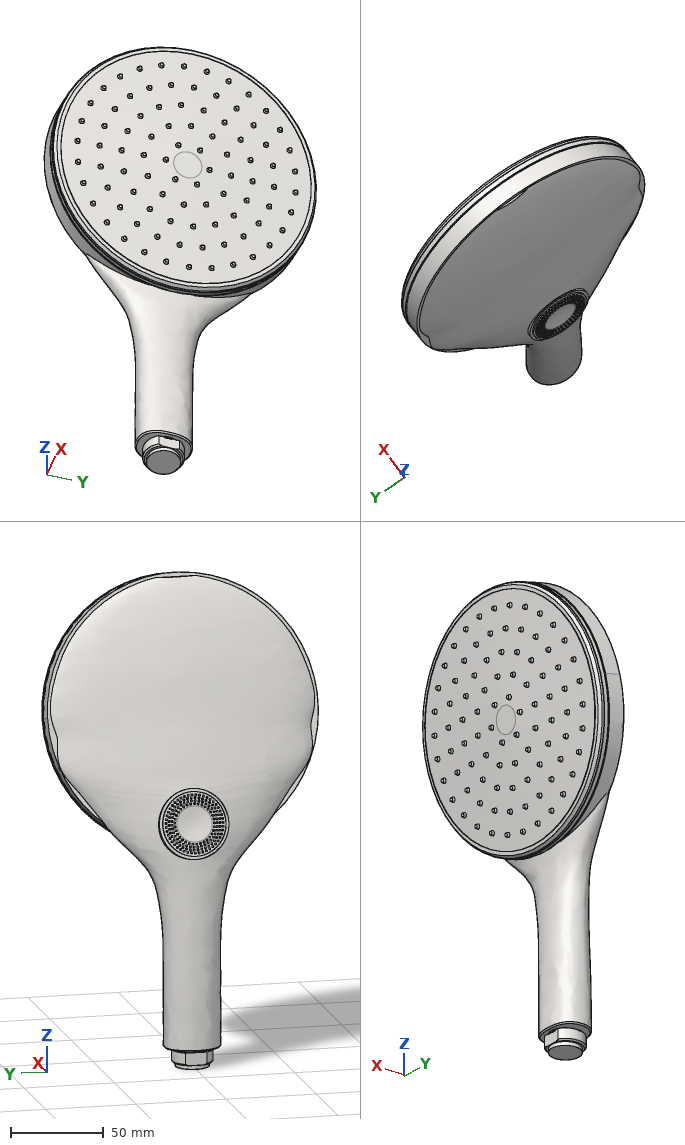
import cadquery as cq
import math


TILT = 14.0
HEAD_RADIUS = 74.99
RIM_X = 21.4
RIM_Z = 191.63
RIM_WIDTH = 13.6
SEAM_OFFSET = 10.2
SEAM_WIDTH = 0.5
SEAM_DEPTH = 0.5
SPRAY_RING_RADIUS = 74.6
SPRAY_RING_OFFSET = 15.0
LIP_RADIUS = 73.2
LIP_OFFSET = 16.8
PLATE_RADIUS = 71.0
PLATE_OFFSET = 17.2
PLATE_CENTRE_OFFSET = 19.9
PLATE_CENTRE_RADIUS = 8.0

NOZZLE_DIAMETER = 3.6
NOZZLE_TIP_DIAMETER = 2.0
NOZZLE_HEIGHT = 1.4
NOZZLE_SINK = 1.0
NOZZLE_RING_STEP = 12.4
NOZZLE_RINGS = 5
NOZZLES_PER_RING_STEP = 6

HANDLE_BOTTOM = 10.6
HANDLE_CHAMFER = 0.8
SHELL_RADIUS = 73.7
CROWN_DEPTH = 10.0
CROWN_HALF_LENGTH = 72.0
CROWN_GAIN = 0.04
CROWN_FADE = 0.65
FRONT_SQUARENESS = 2.5
HEAD_SQUARENESS = 1.75
SHELL_FRONT = 3.0
SHELL_WIDEST = 1.0
SECTION_POINTS = 16

NECK_STATIONS = [
    (HANDLE_BOTTOM + HANDLE_CHAMFER, -12.86, -0.4, 12.1, 15.6, 2.0),
    (24.0, -12.83, -0.4, 12.1, 15.6, 2.0),
    (36.0, -12.7, -0.3, 12.1, 15.6, 2.0),
    (48.0, -12.3, -0.1, 12.1, 15.6, 2.0),
    (60.0, -11.7, 0.2, 12.1, 15.6, 2.0),
    (72.0, -11.0, 0.6, 12.1, 15.8, 2.0),
    (84.0, -10.0, 1.1, 12.1, 16.8, 2.0),
    (96.0, -8.8, 1.7, 12.2, 18.8, 2.0),
    (108.0, -7.7, 3.0, 12.9, 23.5, 1.9),
    (120.0, -6.4, 5.2, 14.0, 33.8, 1.8),
    (132.0, -4.5, 7.8, 14.4, 45.0, 1.7),
    (144.0, -2.0, 10.6, 14.8, 54.0, 1.7),
]
HEAD_STATION_ANGLES = [-30, -15, 0, 15, 30, 45, 58, 70, 80]

BUTTON_DIAMETER = 35.0
BUTTON_X = -5.4
BUTTON_Z = 135.3
BUTTON_THICKNESS = 6.0
COLLAR_DIAMETER = 38.4
COLLAR_DROP = 0.9
DISH_DIAMETER = 19.6
DISH_DEPTH = 1.0
DOT_DIAMETER = 1.0
DOT_HEIGHT = 0.25
DOT_RINGS = 4
DOT_RING_STEP = 1.6
DOT_PITCH = 2.1
DOT_MARGIN = 1.2

SPIGOT_DIAMETER = 18.4
NUT_DIAMETER = 22.6
NUT_ACROSS_FLATS = 19.2
NUT_BOTTOM = 2.3
NUT_TOP = 9.4
NUT_CHAMFER = 0.9

SIN_TILT = math.sin(math.radians(TILT))
COS_TILT = math.cos(math.radians(TILT))


def tilted_plane(x, z, forward=True):
    """Plane whose normal is the head axis, its local Y running up the head."""
    side = 1 if forward else -1
    return cq.Plane(
        origin=(x, 0, z),
        xDir=(0, side, 0),
        normal=(side * COS_TILT, 0, -side * SIN_TILT),
    )


def shell_section(z, rear, middle, front, half_width, squareness):
    """Horizontal closed section: a rear and a front half superellipse in one smooth curve."""

    def half(reach, power):
        curve = []
        for i in range(SECTION_POINTS + 1):
            angle = math.pi * (i / SECTION_POINTS - 0.5)
            across = math.sin(angle)
            along = abs(math.cos(angle))
            curve.append((
                middle + reach * along ** (2 / power),
                half_width * math.copysign(abs(across) ** (2 / power), across),
            ))
        return curve

    outline = half(front - middle, FRONT_SQUARENESS)[:-1] + half(rear - middle, squareness)[:0:-1]
    points = [cq.Vector(x, y, z) for x, y in outline]
    steps = [float(i) for i in range(len(points) + 1)]
    return cq.Wire.assembleEdges([cq.Edge.makeSpline(points, periodic=True, parameters=steps)])


def make_shell():
    """Handle, neck and domed back of the head as one loft."""
    sections = []
    for station in NECK_STATIONS:
        sections.append(shell_section(*station))
    for degrees in HEAD_STATION_ANGLES:
        angle = math.radians(degrees)
        z = RIM_Z + SHELL_RADIUS * math.sin(angle) * COS_TILT
        rim = RIM_X + SHELL_RADIUS * math.sin(angle) * SIN_TILT
        rise = max(0.0, z - RIM_Z) / CROWN_HALF_LENGTH
        drop = max(0.0, RIM_Z - z)
        bulge = CROWN_DEPTH * (1 - rise ** 2) ** CROWN_FADE + CROWN_GAIN * drop
        middle = rim + SHELL_WIDEST
        half_width = SHELL_RADIUS * math.cos(angle)
        sections.append(
            shell_section(z, rim - bulge, middle, rim + SHELL_FRONT, half_width, HEAD_SQUARENESS)
        )
    return cq.Workplane(cq.Solid.makeLoft(sections))


def make_head():
    """Disc with a straight rim, a seam groove and a slightly coned spray plate."""
    seam_radius = HEAD_RADIUS - SEAM_DEPTH
    profile = (
        cq.Workplane("XZ")
        .moveTo(0, 0)
        .lineTo(HEAD_RADIUS, 0)
        .lineTo(HEAD_RADIUS, SEAM_OFFSET)
        .lineTo(seam_radius, SEAM_OFFSET)
        .lineTo(seam_radius, SEAM_OFFSET + SEAM_WIDTH)
        .lineTo(HEAD_RADIUS, SEAM_OFFSET + SEAM_WIDTH)
        .lineTo(HEAD_RADIUS, RIM_WIDTH)
        .lineTo(SPRAY_RING_RADIUS, RIM_WIDTH)
        .lineTo(SPRAY_RING_RADIUS, SPRAY_RING_OFFSET)
        .lineTo(LIP_RADIUS, LIP_OFFSET)
        .lineTo(PLATE_RADIUS, LIP_OFFSET)
        .lineTo(PLATE_RADIUS, PLATE_OFFSET)
        .lineTo(PLATE_CENTRE_RADIUS, PLATE_CENTRE_OFFSET)
        .lineTo(0, PLATE_CENTRE_OFFSET)
        .close()
        .revolve(360, (0, 0, 0), (0, 1, 0))
    )
    return cq.Workplane(place_on_head(profile.val()))


def plate_height(radius):
    """Distance of the coned spray plate from the rear edge of the rim."""
    outward = (radius - PLATE_CENTRE_RADIUS) / (PLATE_RADIUS - PLATE_CENTRE_RADIUS)
    return PLATE_CENTRE_OFFSET - outward * (PLATE_CENTRE_OFFSET - PLATE_OFFSET)


def place_on_head(body):
    """Move a body built about Z onto the head axis."""
    return body.moved(cq.Location(tilted_plane(RIM_X, RIM_Z)))


def make_nozzles():
    """Tapered nozzles in rings on the spray plate."""
    nozzles = []
    for ring in range(1, NOZZLE_RINGS + 1):
        radius = ring * NOZZLE_RING_STEP
        count = ring * NOZZLES_PER_RING_STEP
        base = plate_height(radius) - NOZZLE_SINK
        for i in range(count):
            angle = 2 * math.pi * i / count
            foot = cq.Vector(radius * math.cos(angle), radius * math.sin(angle), base)
            nozzles.append(cq.Solid.makeCone(
                NOZZLE_DIAMETER / 2, NOZZLE_TIP_DIAMETER / 2, NOZZLE_HEIGHT + NOZZLE_SINK, foot
            ))
    return place_on_head(cq.Compound.makeCompound(nozzles))


def make_button():
    """Round selector button with a collar, a dished centre and rings of grip dots."""
    plane = tilted_plane(BUTTON_X, BUTTON_Z, forward=False)
    button = cq.Workplane(plane).circle(BUTTON_DIAMETER / 2).extrude(-BUTTON_THICKNESS)
    collar = (
        cq.Workplane(plane)
        .workplane(offset=-COLLAR_DROP)
        .circle(COLLAR_DIAMETER / 2)
        .extrude(COLLAR_DROP - BUTTON_THICKNESS)
    )
    dish_radius = DISH_DIAMETER / 2
    sphere_radius = (dish_radius ** 2 + DISH_DEPTH ** 2) / (2 * DISH_DEPTH)
    dish = cq.Workplane(plane).workplane(offset=sphere_radius - DISH_DEPTH).sphere(sphere_radius)
    return button.union(collar).cut(dish)


def make_grip_dots():
    """Rings of small dots between the dish and the edge of the button."""
    dots = []
    for ring in range(DOT_RINGS):
        radius = DISH_DIAMETER / 2 + DOT_MARGIN + ring * DOT_RING_STEP
        count = round(2 * math.pi * radius / DOT_PITCH)
        for i in range(count):
            angle = 2 * math.pi * i / count
            foot = cq.Vector(radius * math.cos(angle), radius * math.sin(angle), -DOT_HEIGHT)
            dots.append(cq.Solid.makeCylinder(DOT_DIAMETER / 2, 2 * DOT_HEIGHT, foot))
    plane = tilted_plane(BUTTON_X, BUTTON_Z, forward=False)
    return cq.Compound.makeCompound(dots).moved(cq.Location(plane))


def make_handle_foot():
    """Chamfered lower edge of the handle."""
    z, rear, middle, front, half_width, squareness = NECK_STATIONS[0]
    lower = shell_section(
        z - HANDLE_CHAMFER,
        rear + HANDLE_CHAMFER,
        middle,
        front - HANDLE_CHAMFER,
        half_width - HANDLE_CHAMFER,
        squareness,
    )
    upper = shell_section(z, rear, middle, front, half_width, squareness)
    return cq.Workplane(cq.Solid.makeLoft([lower, upper], True))


def make_connector():
    """Round spigot with a two-flat nut chamfered at its lower end."""
    spigot = cq.Workplane("XY").circle(SPIGOT_DIAMETER / 2).extrude(HANDLE_BOTTOM + HANDLE_CHAMFER)
    nut = (
        cq.Workplane("XY", origin=(0, 0, NUT_BOTTOM))
        .circle(NUT_DIAMETER / 2)
        .extrude(NUT_TOP - NUT_BOTTOM)
        .faces("<Z")
        .chamfer(NUT_CHAMFER)
    )
    flats = cq.Workplane("XY").box(NUT_ACROSS_FLATS, NUT_DIAMETER, 2 * NUT_TOP)
    return spigot.union(nut.intersect(flats))


head = make_head().union(make_nozzles())
button = make_button().union(make_grip_dots())
result = make_shell().union(make_handle_foot()).union(make_connector()).union(head).union(button)